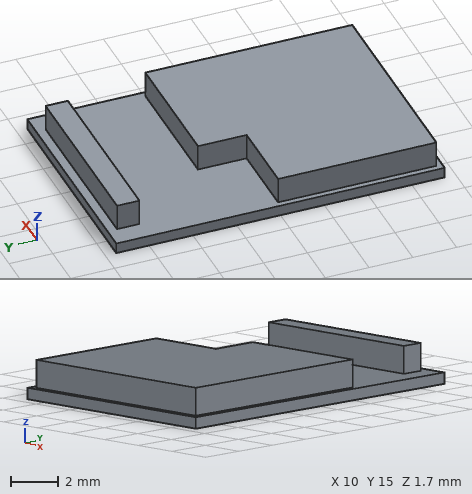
import cadquery as cq

board_width = 10.0
board_length = 15.0
board_thickness = 0.5
total_height = 1.7
component_height = total_height - board_thickness

can_margin = 0.27
can_width = board_width - 2 * can_margin
can_length = 9.45
notch_width = 3.54
notch_length = 2.22

bar_width = 8.04
bar_depth = 1.02
bar_back_gap = 0.44


def box_at(x, y, z, width, length, height):
    """Box with its lower front-left corner at (x, y, z)."""
    return cq.Workplane("XY").box(width, length, height, centered=False).translate((x, y, z))


def make_shield_can():
    can_back = can_margin + can_length
    can = box_at(can_margin, can_margin, board_thickness, can_width, can_length, component_height)
    notch = box_at(
        can_margin, can_back - notch_length, board_thickness,
        notch_width, notch_length, component_height,
    )
    return can.cut(notch)


def make_bar():
    bar_left = (board_width - bar_width) / 2
    bar_front = board_length - bar_back_gap - bar_depth
    return box_at(bar_left, bar_front, board_thickness, bar_width, bar_depth, component_height)


board = box_at(0, 0, 0, board_width, board_length, board_thickness)
result = board.union(make_shield_can()).union(make_bar())